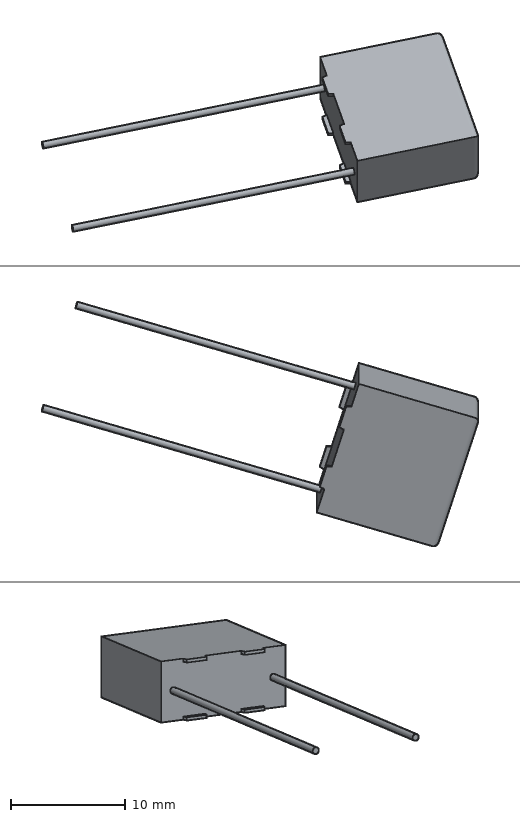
import cadquery as cq

total_length = 36.5

case_width = 12.5
case_depth = 11.05
case_height = 5.5
back_edge_radius = 0.5

tab_spacing = 5.8
tab_base_width = 2.23
tab_tip_width = 1.97
tab_length = 0.45
tab_thickness = 0.3

lead_spacing = 10.0
lead_diameter = 0.62
lead_length = total_length - case_depth


def make_tab(center_x, bottom_z):
    """One trapezoidal standoff tab that projects forward (-Y) from the mounting face."""
    outline = [
        (center_x - tab_base_width / 2, 0),
        (center_x + tab_base_width / 2, 0),
        (center_x + tab_tip_width / 2, -tab_length),
        (center_x - tab_tip_width / 2, -tab_length),
    ]
    return cq.Workplane("XY", origin=(0, 0, bottom_z)).polyline(outline).close().extrude(tab_thickness)


def make_case():
    """Box with rounded back edges and four standoff tabs on the mounting face."""
    case = cq.Workplane("XY").box(case_width, case_depth, case_height, centered=(True, False, True))
    case = case.faces(">Y").edges().fillet(back_edge_radius)
    for center_x in (-tab_spacing / 2, tab_spacing / 2):
        for bottom_z in (-case_height / 2, case_height / 2 - tab_thickness):
            case = case.union(make_tab(center_x, bottom_z))
    return case


def make_lead(center_x):
    """One round wire running forward (-Y) from the mounting face."""
    return cq.Workplane("XZ").center(center_x, 0).circle(lead_diameter / 2).extrude(lead_length)


case = make_case()
leads = [make_lead(center_x) for center_x in (-lead_spacing / 2, lead_spacing / 2)]

result = cq.Compound.makeCompound([case.val(), *[lead.val() for lead in leads]])